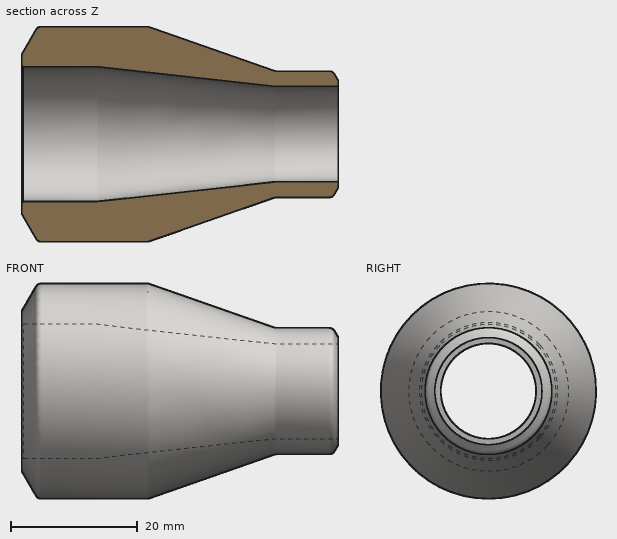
import cadquery as cq
import math

length = 50.0
large_end_length = 20.0
small_end_length = 10.0

large_diameter = 34.0
small_diameter = 20.0
large_bore = 21.2
small_bore = 15.0
large_bore_depth = 12.0

large_face_diameter = 25.2
small_face_diameter = 16.9
bevel_angle = 30.0

edge_radius = 1.0
mouth_chamfer = 0.3

x_start = -length / 2
x_end = length / 2
x_large_shoulder = x_start + large_end_length
x_small_shoulder = x_end - small_end_length


def bevel_depth(outer_diameter, face_diameter):
    """Axial depth of a weld bevel."""
    return (outer_diameter - face_diameter) / 2 * math.tan(math.radians(bevel_angle))


def revolve_about_x(points):
    """Turn a closed (x, radius) outline around the X axis."""
    return cq.Workplane("XY").polyline(points).close().revolve(360, (0, 0, 0), (1, 0, 0))


x_large_bevel = x_start + bevel_depth(large_diameter, large_face_diameter)
x_small_bevel = x_end - bevel_depth(small_diameter, small_face_diameter)
body = revolve_about_x([
    (x_start, 0),
    (x_start, large_face_diameter / 2),
    (x_large_bevel, large_diameter / 2),
    (x_large_shoulder, large_diameter / 2),
    (x_small_shoulder, small_diameter / 2),
    (x_small_bevel, small_diameter / 2),
    (x_end, small_face_diameter / 2),
    (x_end, 0),
])

for x in (x_large_bevel, x_large_shoulder, x_small_shoulder, x_small_bevel):
    rim = cq.selectors.BoxSelector(
        (x - edge_radius / 2, -large_diameter, -large_diameter),
        (x + edge_radius / 2, large_diameter, large_diameter),
    )
    body = body.edges(rim).fillet(edge_radius)

bore = revolve_about_x([
    (x_start, 0),
    (x_start, large_bore / 2 + mouth_chamfer),
    (x_start + mouth_chamfer, large_bore / 2),
    (x_start + large_bore_depth, large_bore / 2),
    (x_small_shoulder, small_bore / 2),
    (x_end, small_bore / 2),
    (x_end, 0),
])

result = body.cut(bore)